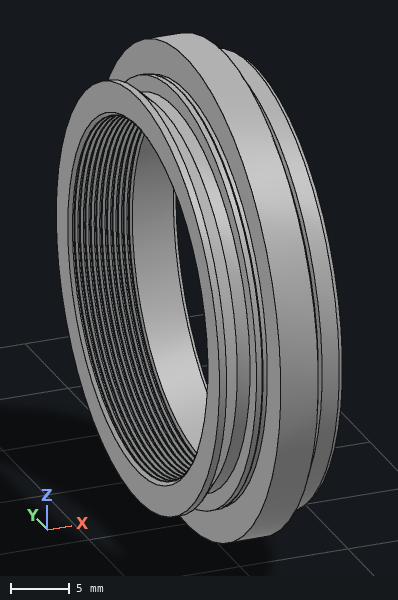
import cadquery as cq

total_length = 11.0

dovetail_diameter = 38.0
dovetail_groove_diameter = 35.02
shoulder_diameter = 37.75
grip_diameter = 44.0
relief_diameter = 39.8
collar_diameter = 40.5

dovetail_rim_end = 0.65
dovetail_slope_end = 2.25
groove_end = 3.45
flange_end = 3.95
flange_bevel_end = 4.1
grip_start = 4.5
grip_end = 7.95
relief_end = 8.8
collar_start = 9.0
collar_bevel_start = 10.6
collar_end_diameter = 40.05

thread_minor_diameter = 31.95
thread_major_diameter = 32.55
thread_length = 5.55
thread_groove_count = 11
counterbore_diameter = 36.5
mouth_chamfer = 0.45

thread_depth = (thread_major_diameter - thread_minor_diameter) / 2
entry_chamfer = thread_depth
counterbore_start = entry_chamfer + thread_length

thread_pitch = thread_length / thread_groove_count
crest_width = thread_pitch / 4
root_width = thread_pitch / 8
flank_width = (thread_pitch - crest_width - root_width) / 2


def revolve_about_x(outline):
    """Turn a closed (x, diameter) outline into a solid around the X axis."""
    points = [(x, diameter / 2) for x, diameter in outline]
    return cq.Workplane("XY").polyline(points).close().revolve(360, (0, 0, 0), (1, 0, 0))


def outer_body():
    """Stepped blank: dovetail, flange, grip ring, relief and bevelled collar."""
    return revolve_about_x([
        (0, 0),
        (0, dovetail_diameter),
        (dovetail_rim_end, dovetail_diameter),
        (dovetail_slope_end, dovetail_groove_diameter),
        (groove_end, dovetail_groove_diameter),
        (groove_end, dovetail_diameter),
        (flange_end, dovetail_diameter),
        (flange_bevel_end, shoulder_diameter),
        (grip_start, shoulder_diameter),
        (grip_start, grip_diameter),
        (grip_end, grip_diameter),
        (grip_end, relief_diameter),
        (relief_end, relief_diameter),
        (collar_start, collar_diameter),
        (collar_bevel_start, collar_diameter),
        (total_length, collar_end_diameter),
        (total_length, 0),
    ])


def thread_groove(start):
    """Outline points of one thread groove whose pitch begins at x = start."""
    root_start = start + crest_width + flank_width
    root_end = root_start + root_width
    return [
        (start + crest_width, thread_minor_diameter),
        (root_start, thread_major_diameter),
        (root_end, thread_major_diameter),
        (root_end + flank_width, thread_minor_diameter),
    ]


def threaded_bore():
    """Bore with an entry chamfer, ring-shaped thread grooves and a wider rear counterbore."""
    outline = [
        (0, 0),
        (0, thread_minor_diameter + 2 * entry_chamfer),
        (entry_chamfer, thread_minor_diameter),
    ]
    for index in range(thread_groove_count):
        outline += thread_groove(entry_chamfer + index * thread_pitch)
    outline += [
        (counterbore_start, counterbore_diameter),
        (total_length - mouth_chamfer, counterbore_diameter),
        (total_length, counterbore_diameter + 2 * mouth_chamfer),
        (total_length, 0),
    ]
    return revolve_about_x(outline)


result = outer_body().cut(threaded_bore())